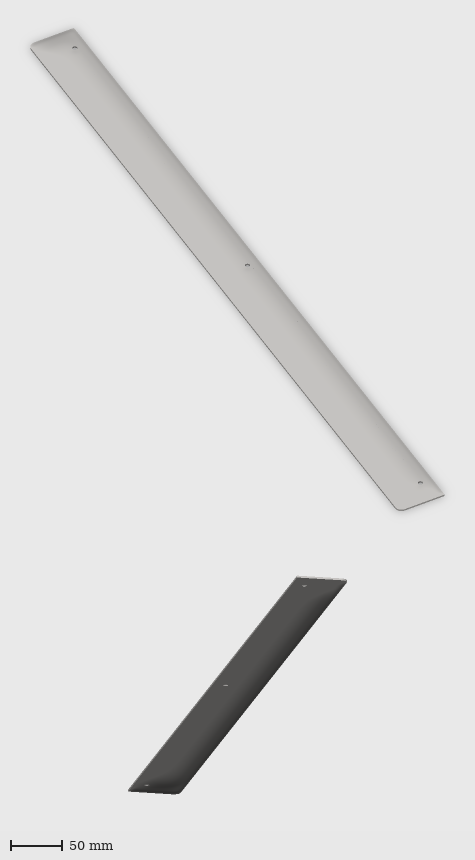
import cadquery as cq

length = 760.5
width = 51.0
thickness = 1.9
corner_radius = 7.0

hole_diameter = 5.1
hole_edge_distance = 13.0
hole_end_distance = 26.0

hole_y = width / 2 - hole_edge_distance
end_hole_x = length / 2 - hole_end_distance
hole_centers = [(x, hole_y) for x in (-end_hole_x, 0, end_hole_x)]

strip = cq.Workplane("XY").box(length, width, thickness, centered=(True, True, False))

rounded_strip = strip.edges("|Z and <Y").fillet(corner_radius)

result = (
    rounded_strip.faces(">Z")
    .workplane(origin=(0, 0, thickness))
    .pushPoints(hole_centers)
    .hole(hole_diameter)
)